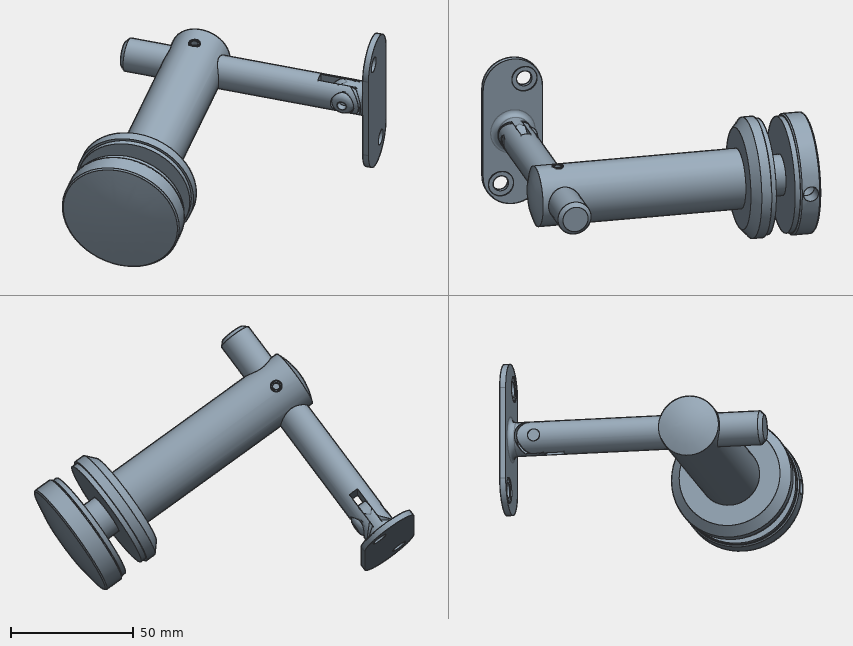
import cadquery as cq
import math

overall_length = 120.0

rod_diameter = 13.9
rod_start_x = -30.0
rod_chamfer = 1.7

plate_back_x = 78.0
plate_thickness = 2.5
plate_width = 25.0
plate_height = 63.0
knuckle_fillet = 2.4
plate_hole_diameter = 6.5
plate_counterbore_diameter = 10.5
plate_counterbore_depth = 0.5
plate_hole_y = 4.9
plate_hole_z = 22.5

pivot_x = 65.0
joint_clearance = 1.0
slot_width = 4.1
slot_start_x = 53.3

pivot_shank_diameter = 5.0
pivot_head_diameter = 10.0
pivot_head_seat_y = -4.2
pivot_head_top_y = -7.5
pivot_head_rounding = 2.8
pivot_socket_diameter = 3.8
pivot_socket_depth = 3.0
pivot_end_y = 6.5

post_diameter = 25.0
post_rim_y = 9.2
post_crown_y = 12.0
post_end_y = -76.1

set_screw_diameter = 4.8
set_screw_top_z = 12.2
set_screw_rim_chamfer = 0.4
set_screw_socket_diameter = 3.0
set_screw_socket_depth = 2.0

disc_diameter = 49.9
disc_chamfer_length = 3.6
disc_chamfer_width = 4.0
disc_thickness = 7.8
gasket_diameter = 48.0
gasket_thickness = 2.2
glass_gap = 7.9
stud_diameter = 17.0
stud_depth_in_cap = 4.8

cap_rim_chamfer = 0.6
cap_dome_height = 2.9
grip_hole_diameter = 6.2
grip_hole_depth = 7.2
drill_tip_angle = 118.0

rod_radius = rod_diameter / 2
post_radius = post_diameter / 2
disc_radius = disc_diameter / 2
plate_front_x = plate_back_x - plate_thickness

disc_end_y = post_end_y - disc_thickness
glass_back_y = disc_end_y - gasket_thickness
glass_front_y = glass_back_y - glass_gap
cap_start_y = glass_front_y - gasket_thickness
cap_crown_y = plate_width / 2 - overall_length
cap_dome_y = cap_crown_y + cap_dome_height
cap_face_radius = disc_radius - cap_rim_chamfer
grip_hole_y = (cap_start_y + cap_dome_y) / 2


def cylinder_x(radius, start_x, end_x):
    return cq.Workplane("YZ", origin=(start_x, 0, 0)).circle(radius).extrude(end_x - start_x)


def cylinder_y(radius, start_y, end_y, x=0):
    """Cylinder along Y from start_y up to the larger end_y."""
    return cq.Workplane("XZ", origin=(x, end_y, 0)).circle(radius).extrude(end_y - start_y)


def cylinder_z(radius, start_z, end_z):
    return cq.Workplane("XY", origin=(0, 0, start_z)).circle(radius).extrude(end_z - start_z)


def block(start_x, end_x, width_y, height_z):
    """Box from start_x to end_x, centred on the rod axis."""
    middle_x = (start_x + end_x) / 2
    return cq.Workplane("XY", origin=(middle_x, 0, 0)).box(end_x - start_x, width_y, height_z)


def dome_arc_middle(rim_radius, rim_y, crown_y):
    """Point halfway along the circular arc from a dome's rim to its crown on the axis."""
    rise = crown_y - rim_y
    sphere_radius = (rim_radius**2 + rise**2) / (2 * abs(rise))
    half_angle = math.asin(rim_radius / sphere_radius) / 2
    drop = sphere_radius * (1 - math.cos(half_angle))
    return (sphere_radius * math.sin(half_angle), crown_y - math.copysign(drop, rise))


def drilled_hole(diameter, depth):
    """Drill shape along +Y: open end at the origin, full diameter to depth, conical tip."""
    radius = diameter / 2
    tip_length = radius / math.tan(math.radians(drill_tip_angle / 2))
    profile = [(0, 0), (radius, 0), (radius, depth), (0, depth + tip_length)]
    return cq.Workplane("XY").polyline(profile).close().revolve(360, (0, 0, 0), (0, 1, 0))


def make_pivot_screw():
    head = cylinder_y(pivot_head_diameter / 2, pivot_head_top_y, pivot_head_seat_y, pivot_x)
    head = head.faces("<Y").edges().fillet(pivot_head_rounding)
    shank = cylinder_y(pivot_shank_diameter / 2, pivot_head_seat_y, pivot_end_y, pivot_x)
    socket = drilled_hole(pivot_socket_diameter, pivot_socket_depth)
    return head.union(shank).cut(socket.translate((pivot_x, pivot_head_top_y, 0)))


def round_nose(start_x):
    """Rod-sized bar from start_x whose tip is rounded about the pivot axis."""
    bar = cylinder_x(rod_radius, start_x, pivot_x + rod_radius)
    nose = cylinder_y(rod_radius, -rod_radius, rod_radius, pivot_x)
    nose = nose.union(block(start_x, pivot_x, rod_diameter, rod_diameter))
    return bar.intersect(nose)


def make_rod():
    rod = round_nose(rod_start_x).faces("<X").chamfer(rod_chamfer)
    slot = block(slot_start_x, plate_front_x, slot_width, rod_diameter)
    shank_hole = cylinder_y(pivot_shank_diameter / 2, -rod_radius, rod_radius, pivot_x)
    head_hole = cylinder_y(pivot_head_diameter / 2, -rod_radius, pivot_head_seat_y, pivot_x)
    return rod.cut(slot).cut(shank_hole).cut(head_hole)


def make_wall_plate():
    plate = (
        cq.Workplane("YZ", origin=(plate_front_x, 0, 0))
        .slot2D(plate_height, plate_width, 90)
        .extrude(plate_thickness)
    )
    knuckle = cylinder_x(rod_radius, pivot_x - rod_radius, plate_front_x)
    plate = plate.union(knuckle)
    root = cq.NearestToPointSelector((plate_front_x, 0, rod_radius))
    plate = plate.edges(root).fillet(knuckle_fillet)

    tongue_start_x = pivot_x - rod_radius
    shoulder = cylinder_y(rod_radius + joint_clearance, -rod_radius, rod_radius, pivot_x)
    cheek_room = shoulder.cut(block(slot_start_x, plate_front_x, slot_width, rod_diameter))
    plate = plate.cut(cheek_room)

    tip_round = cylinder_y(rod_radius, -rod_radius, rod_radius, pivot_x)
    tip_waste = block(tongue_start_x, pivot_x, rod_diameter, rod_diameter).cut(tip_round)
    plate = plate.cut(tip_waste)

    plate = plate.cut(cylinder_y(pivot_shank_diameter / 2, -rod_radius, rod_radius, pivot_x))
    for side in (1, -1):
        place = (0, -side * plate_hole_y, side * plate_hole_z)
        hole = cylinder_x(plate_hole_diameter / 2, plate_front_x, plate_back_x)
        counterbore = cylinder_x(
            plate_counterbore_diameter / 2, plate_front_x, plate_front_x + plate_counterbore_depth
        )
        plate = plate.cut(hole.union(counterbore).translate(place))
    return plate


def make_post():
    post = (
        cq.Workplane("XY")
        .moveTo(0, post_end_y)
        .lineTo(post_radius, post_end_y)
        .lineTo(post_radius, post_rim_y)
        .threePointArc(dome_arc_middle(post_radius, post_rim_y, post_crown_y), (0, post_crown_y))
        .close()
        .revolve(360, (0, 0, 0), (0, 1, 0))
    )
    rod_hole = cylinder_x(rod_radius, -post_radius, post_radius)
    set_screw_hole = cylinder_z(set_screw_diameter / 2, 0, post_radius)
    return post.cut(rod_hole).cut(set_screw_hole)


def make_set_screw():
    screw = cylinder_z(set_screw_diameter / 2, 0, set_screw_top_z)
    screw = screw.faces(">Z").chamfer(set_screw_rim_chamfer)
    screw = screw.cut(cylinder_x(rod_radius, -post_radius, post_radius))
    socket_floor_z = set_screw_top_z - set_screw_socket_depth
    return screw.cut(cylinder_z(set_screw_socket_diameter / 2, socket_floor_z, set_screw_top_z))


def make_backing_disc():
    disc = (
        cq.Workplane("XY")
        .moveTo(0, disc_end_y)
        .lineTo(disc_radius, disc_end_y)
        .lineTo(disc_radius, post_end_y - disc_chamfer_length)
        .lineTo(disc_radius - disc_chamfer_width, post_end_y)
        .lineTo(0, post_end_y)
        .close()
        .revolve(360, (0, 0, 0), (0, 1, 0))
    )
    return disc.cut(cylinder_y(stud_diameter / 2, disc_end_y, post_end_y))


def make_gasket(start_y):
    ring = cylinder_y(gasket_diameter / 2, start_y, start_y + gasket_thickness)
    return ring.cut(cylinder_y(stud_diameter / 2, start_y, start_y + gasket_thickness))


def make_stud():
    return cylinder_y(stud_diameter / 2, cap_start_y - stud_depth_in_cap, post_end_y)


def make_cap():
    cap = (
        cq.Workplane("XY")
        .moveTo(0, cap_start_y)
        .lineTo(cap_face_radius, cap_start_y)
        .lineTo(disc_radius, cap_start_y - cap_rim_chamfer)
        .lineTo(disc_radius, cap_dome_y + cap_rim_chamfer)
        .lineTo(cap_face_radius, cap_dome_y)
        .threePointArc(dome_arc_middle(cap_face_radius, cap_dome_y, cap_crown_y), (0, cap_crown_y))
        .close()
        .revolve(360, (0, 0, 0), (0, 1, 0))
    )
    grip_hole = drilled_hole(grip_hole_diameter, grip_hole_depth).rotate((0, 0, 0), (0, 0, 1), -90)
    cap = cap.cut(grip_hole.translate((-disc_radius, grip_hole_y, 0)))
    return cap.cut(make_stud())


gaskets = [make_gasket(start_y) for start_y in (glass_back_y, cap_start_y)]

result = cq.Compound.makeCompound([
    make_post().val(),
    make_set_screw().val(),
    make_rod().val(),
    make_wall_plate().val(),
    make_pivot_screw().val(),
    make_backing_disc().val(),
    *[gasket.val() for gasket in gaskets],
    make_stud().val(),
    make_cap().val(),
])